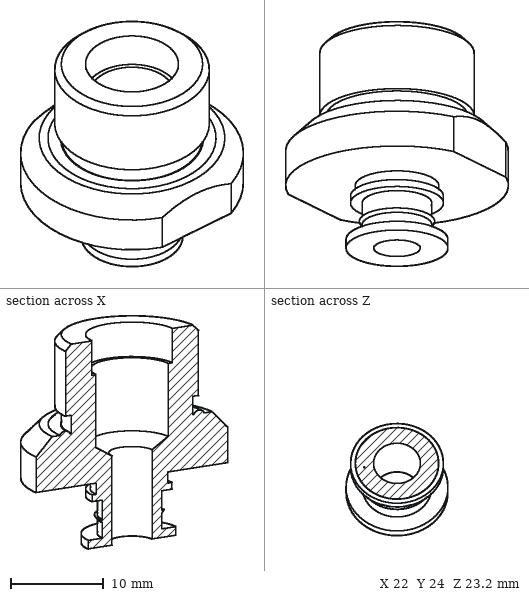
import cadquery as cq
import math

total_height = 23.2
foot_top = 1.0
barb_bottom = 2.7
barb_top = 3.1
collar_bottom = 5.2
collar_top = 6.0
flange_bottom = 7.2
flange_edge_top = 11.2
relief_top = 15.22

foot_diameter = 11.0
stem_diameter = 7.5
barb_diameter = 8.1
collar_diameter = 10.0
neck_diameter = 9.0
flange_diameter = 24.0
flange_face_diameter = 20.0
relief_diameter = 15.25
spigot_diameter = 16.65

width_across_flats = 22.0
spigot_chamfer = 0.72
ring_thickness = 1.5
ring_height = 0.4

mouth_diameter = 10.0
mouth_depth = 3.85
bore_diameter = 9.0
bore_bottom = flange_edge_top
hole_diameter = 5.0
drill_point_angle = 118.0

flange_top = flange_edge_top + (flange_diameter - flange_face_diameter) / 2


def cylinder(diameter, bottom, top):
    """Upright cylinder on the part axis."""
    return cq.Workplane("XY").workplane(offset=bottom).circle(diameter / 2).extrude(top - bottom)


def cone(bottom_diameter, top_diameter, bottom, top):
    """Upright truncated cone on the part axis."""
    outline = [(0, bottom), (bottom_diameter / 2, bottom), (top_diameter / 2, top), (0, top)]
    return cq.Workplane("XZ").polyline(outline).close().revolve(360, (0, 0), (0, 1))


def make_stem():
    """Foot, barbed stem, collar and neck below the flange."""
    stem = cylinder(stem_diameter, 0, collar_top)
    stem = stem.union(cylinder(foot_diameter, 0, foot_top))
    stem = stem.union(cone(stem_diameter, barb_diameter, barb_bottom, barb_top))
    stem = stem.union(cylinder(collar_diameter, collar_bottom, collar_top))
    return stem.union(cylinder(neck_diameter, collar_top, flange_bottom))


def make_flange():
    """Bevelled round flange with two flats facing -X and +X."""
    edge = cylinder(flange_diameter, flange_bottom, flange_edge_top)
    bevel = cone(flange_diameter, flange_face_diameter, flange_edge_top, flange_top)
    flats = cq.Workplane("XY").box(width_across_flats, 2 * flange_diameter, 2 * total_height)
    return edge.union(bevel).intersect(flats)


def make_sealing_ring():
    """Round ring against the relief, partly sunk into the flange face."""
    ring_radius = (relief_diameter + ring_thickness) / 2
    ring_center = flange_top + ring_height - ring_thickness / 2
    section = cq.Workplane("XZ").center(ring_radius, ring_center).circle(ring_thickness / 2)
    return section.revolve(360, (-ring_radius, 0), (-ring_radius, 1))


def make_spigot():
    """Chamfered spigot standing on a narrower relief."""
    relief = cylinder(relief_diameter, flange_top, relief_top)
    spigot = cylinder(spigot_diameter, relief_top, total_height)
    return relief.union(spigot.faces(">Z").chamfer(spigot_chamfer))


def make_bore():
    """Wide mouth, bore, cone and through hole."""
    half_angle = math.radians(drill_point_angle / 2)
    cone_depth = (bore_diameter - hole_diameter) / 2 / math.tan(half_angle)
    cone_bottom = bore_bottom - cone_depth
    bore = cylinder(hole_diameter, 0, total_height)
    bore = bore.union(cone(hole_diameter, bore_diameter, cone_bottom, bore_bottom))
    bore = bore.union(cylinder(bore_diameter, bore_bottom, total_height))
    return bore.union(cylinder(mouth_diameter, total_height - mouth_depth, total_height))


body = make_stem().union(make_flange()).union(make_spigot()).union(make_sealing_ring())
result = body.cut(make_bore())